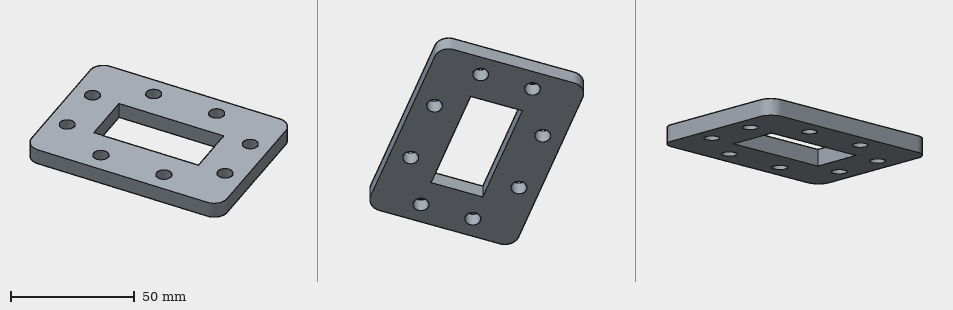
import cadquery as cq

length = 88.9
width = 63.5
thickness = 7.0
corner_radius = 6.0

window_length = 47.6
window_width = 22.1

hole_diameter = 6.4
long_side_spacing = 28.6
long_side_row_distance = 46.4
short_side_spacing = 22.2
short_side_row_distance = 71.7


def hole_positions():
    """Centres of the eight bolt holes, symmetric about the plate centre."""
    positions = []
    for x_sign in (-1, 1):
        for y_sign in (-1, 1):
            positions.append((x_sign * long_side_spacing / 2, y_sign * long_side_row_distance / 2))
            positions.append((x_sign * short_side_row_distance / 2, y_sign * short_side_spacing / 2))
    return positions


plate = cq.Workplane("XY").box(length, width, thickness).edges("|Z").fillet(corner_radius)
plate = plate.faces(">Z").workplane().rect(window_length, window_width).cutThruAll()
result = plate.faces(">Z").workplane().pushPoints(hole_positions()).hole(hole_diameter)